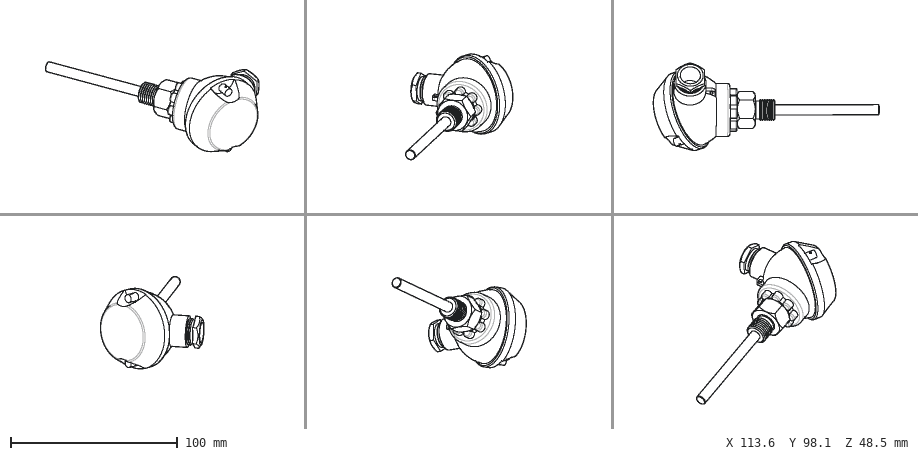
import cadquery as cq
import math


PROBE_ANGLE = 31.2
ROLL_ANGLE = -1.4

DOME_R = 22.4
RIM_BACK_X = -1.5
BOSS_R = 15.9
BOSS_END = 24.2
BOSS_FILLET = 1.5
SLEEVE_R = 9.5
SLEEVE_END = 30.1
SLEEVE_OFFSET = -0.1
SLEEVE_BORE_DEPTH = 6.8
LUG_THICKNESS = 2.0
LUG_CORNER_R = 2.2
LUG_HOLE_R = 1.0
LUG_HOLE_ALONG_PROBE = 12.8
LUG_HOLE_ALONG_GLAND = 20.3

RIM_R = 24.26
RIM_FRONT_X = 3.7
RIM_CHAMFER = 0.8
LID_END_X = 15.0
LID_TAPER = 30.0
LID_END_FILLET = 1.1
POCKET_R = 8.9
POCKET_OFFSET = 25.1
POCKET_FLOOR_X = 3.0
PIN_R = 2.5
PIN_OFFSET = 20.0
PIN_END_X = 9.7
PIN_HOLE_R = 0.5
PIN_HOLE_X = 6.7

LOBE_COUNT = 8
LOBE_CIRCLE_R = 10.2
LOBE_R = 2.8
LOBE_FILLET = 0.8
HUB_END = 28.4

FITTING_HEX_FLATS = 19.3
FITTING_HEX_END = 39.3
FITTING_FACE_R = 9.5
FITTING_CHAMFER = 1.5
FITTING_SHANK_R = 5.5
FITTING_FLARE = 0.7
FITTING_FLARE_LENGTH = 0.3
FITTING_END = 51.1
FITTING_CREST_R = 6.4
FITTING_PITCH = 1.32
FITTING_RIDGES = 7
FITTING_FIRST_CREST = 42.5

PROBE_R = 3.12
PROBE_TIP = 113.6
PROBE_CHAMFER = 0.3

GLAND_HEX_FLATS = 17.2
GLAND_HEX_START = 34.4
GLAND_END = 38.3
GLAND_FACE_R = 7.7
GLAND_CHAMFER = 1.6
GLAND_NECK_R = 7.3
GLAND_CREST_R = 8.1
GLAND_PITCH = 1.2
GLAND_RIDGES = 2
GLAND_FIRST_CREST = 30.8
GLAND_BORE_R = 6.0

CONE_REACH = 10


def rolled(x, y):
    """Direction (x, y, 0) after the roll of the housing about the X axis."""
    roll = math.radians(ROLL_ANGLE)
    return cq.Vector(x, y * math.cos(roll), y * math.sin(roll))


probe_cos = math.cos(math.radians(PROBE_ANGLE))
probe_sin = math.sin(math.radians(PROBE_ANGLE))
probe_dir = rolled(-probe_cos, -probe_sin)
gland_dir = rolled(-probe_sin, probe_cos)

probe_frame = cq.Plane(origin=(0, 0, 0), xDir=gland_dir, normal=probe_dir)
gland_frame = cq.Plane(origin=probe_dir * SLEEVE_OFFSET, xDir=probe_dir, normal=gland_dir)


def placed(body, frame):
    """Move a body built about the local Z axis into its frame."""
    return cq.Workplane(body.val().moved(cq.Location(frame)))


def revolved(outline):
    """Solid of revolution about local Z from (radius, height) points."""
    return cq.Workplane("XZ").polyline(outline).close().revolve(360, (0, 0), (0, 1))


def cylinder(radius, start, end):
    """Cylinder about local Z between two heights."""
    return cq.Workplane().workplane(offset=start).circle(radius).extrude(end - start)


def hexagon(flats, start, end, turn):
    """Hexagonal prism, with a corner on local X when turn is 0."""
    corner_r = corner_radius(flats)
    prism = cq.Workplane().workplane(offset=start).polygon(6, 2 * corner_r).extrude(end - start)
    return prism.rotate((0, 0, 0), (0, 0, 1), turn)


def corner_radius(flats):
    """Radius to the corners of a hexagon of the given width across flats."""
    return flats / 2 / math.cos(math.radians(30))


def hex_cone(flats, face_r, face_at, drop):
    """Conical envelope that chamfers the hex corners towards the face at face_at.

    The cone reaches the corner radius a signed distance drop behind the face.
    """
    corner_r = corner_radius(flats)
    reach = CONE_REACH * drop
    wide_r = face_r + (corner_r - face_r) * CONE_REACH
    outline = [(0, face_at), (face_r, face_at), (wide_r, face_at - reach), (0, face_at - reach)]
    return revolved(outline)


def thread_ridges(root_r, crest_r, first, pitch, count):
    """Row of ring-shaped ridges of triangular section."""
    ridges = cq.Workplane()
    for i in range(count):
        crest = first + i * pitch
        outline = [
            (0, crest - pitch / 2),
            (root_r, crest - pitch / 2),
            (crest_r, crest),
            (root_r, crest + pitch / 2),
            (0, crest + pitch / 2),
        ]
        ridges = ridges.add(revolved(outline))
    return ridges.combine()


def make_lug():
    """Drilled plate on the dome, between the sleeve and the boss."""
    along_gland = LUG_HOLE_ALONG_GLAND + LUG_CORNER_R
    along_probe = LUG_HOLE_ALONG_PROBE + LUG_CORNER_R
    plate = (
        cq.Workplane("XZ")
        .rect(along_gland, along_probe, centered=False)
        .extrude(LUG_THICKNESS / 2, both=True)
    )
    plate = plate.edges("|Y and >X and >Z").fillet(LUG_CORNER_R)
    hole = (
        cq.Workplane("XZ")
        .center(LUG_HOLE_ALONG_GLAND, LUG_HOLE_ALONG_PROBE)
        .circle(LUG_HOLE_R)
        .extrude(LUG_THICKNESS, both=True)
    )
    return placed(plate.cut(hole), probe_frame)


def make_housing():
    dome = cq.Workplane().sphere(DOME_R)
    boss = cylinder(BOSS_R, 0, BOSS_END).faces(">Z").edges().fillet(BOSS_FILLET)
    sleeve = cylinder(SLEEVE_R, 0, SLEEVE_END)
    sleeve_bore = cylinder(GLAND_NECK_R, SLEEVE_END - SLEEVE_BORE_DEPTH, SLEEVE_END)
    body = dome.union(placed(boss, probe_frame)).union(placed(sleeve, gland_frame))
    body = body.union(make_lug()).cut(placed(sleeve_bore, gland_frame))
    beyond_lid_plane = (
        cq.Workplane("YZ").workplane(offset=RIM_BACK_X).circle(2 * DOME_R).extrude(2 * DOME_R)
    )
    return body.cut(beyond_lid_plane)


def make_lid():
    end_r = RIM_R - (LID_END_X - RIM_FRONT_X) * math.tan(math.radians(LID_TAPER))
    outline = [
        (RIM_BACK_X, 0),
        (RIM_BACK_X, RIM_R - RIM_CHAMFER),
        (RIM_BACK_X + RIM_CHAMFER, RIM_R),
        (RIM_FRONT_X, RIM_R),
        (LID_END_X, end_r),
        (LID_END_X, 0),
    ]
    lid = cq.Workplane("XY").polyline(outline).close().revolve(360, (0, 0), (1, 0))
    lid = lid.faces(">X").edges().fillet(LID_END_FILLET)
    pockets = (
        cq.Workplane("YZ")
        .workplane(offset=POCKET_FLOOR_X)
        .pushPoints([(0, POCKET_OFFSET), (0, -POCKET_OFFSET)])
        .circle(POCKET_R)
        .extrude(LID_END_X)
    )
    return lid.cut(pockets)


def make_pin(side):
    """Cross-drilled sealing pin standing on a pocket floor; side is +1 above, -1 below."""
    pin = (
        cq.Workplane("YZ")
        .workplane(offset=POCKET_FLOOR_X)
        .center(0, side * PIN_OFFSET)
        .circle(PIN_R)
        .extrude(PIN_END_X - POCKET_FLOOR_X)
    )
    hole = (
        cq.Workplane("XY")
        .workplane(offset=side * PIN_OFFSET)
        .center(PIN_HOLE_X, 0)
        .circle(PIN_HOLE_R)
        .extrude(2 * PIN_R, both=True)
    )
    return pin.cut(hole)


def make_hub():
    hub = cylinder(LOBE_CIRCLE_R, BOSS_END, HUB_END)
    lobe = cylinder(LOBE_R, BOSS_END, HUB_END).faces(">Z").edges().fillet(LOBE_FILLET)
    for i in range(LOBE_COUNT):
        turn = i * 360 / LOBE_COUNT
        hub = hub.union(lobe.translate((LOBE_CIRCLE_R, 0, 0)).rotate((0, 0, 0), (0, 0, 1), turn))
    return placed(hub, probe_frame)


def make_fitting():
    nut = hexagon(FITTING_HEX_FLATS, HUB_END, FITTING_HEX_END, 0)
    for face_at, drop in ((FITTING_HEX_END, FITTING_CHAMFER), (HUB_END, -FITTING_CHAMFER)):
        nut = nut.intersect(hex_cone(FITTING_HEX_FLATS, FITTING_FACE_R, face_at, drop))
    shank = cylinder(FITTING_SHANK_R, FITTING_HEX_END, FITTING_END)
    flare_r = FITTING_SHANK_R + FITTING_FLARE
    flare_outline = [
        (0, FITTING_HEX_END),
        (flare_r, FITTING_HEX_END),
        (FITTING_SHANK_R, FITTING_HEX_END + FITTING_FLARE_LENGTH),
        (0, FITTING_HEX_END + FITTING_FLARE_LENGTH),
    ]
    flare = revolved(flare_outline)
    thread = thread_ridges(
        FITTING_SHANK_R, FITTING_CREST_R, FITTING_FIRST_CREST, FITTING_PITCH, FITTING_RIDGES
    )
    bore = cylinder(PROBE_R, HUB_END, FITTING_END)
    return placed(nut.union(shank).union(flare).union(thread).cut(bore), probe_frame)


def make_probe():
    probe = cylinder(PROBE_R, HUB_END, PROBE_TIP).faces(">Z").edges().chamfer(PROBE_CHAMFER)
    return placed(probe, probe_frame)


def make_gland():
    nut = hexagon(GLAND_HEX_FLATS, GLAND_HEX_START, GLAND_END, 30)
    nut = nut.intersect(hex_cone(GLAND_HEX_FLATS, GLAND_FACE_R, GLAND_END, GLAND_CHAMFER))
    plug_start = SLEEVE_END - SLEEVE_BORE_DEPTH
    neck = cylinder(GLAND_NECK_R, plug_start, GLAND_HEX_START)
    thread = thread_ridges(
        GLAND_NECK_R, GLAND_CREST_R, GLAND_FIRST_CREST, GLAND_PITCH, GLAND_RIDGES
    )
    bore = cylinder(GLAND_BORE_R, plug_start, GLAND_END)
    return placed(nut.union(neck).union(thread).cut(bore), gland_frame)


housing = make_housing()
lid = make_lid()
pins = [make_pin(side) for side in (1, -1)]
hub = make_hub()
fitting = make_fitting()
probe = make_probe()
gland = make_gland()

result = cq.Compound.makeCompound(
    [
        housing.val(),
        lid.val(),
        *[pin.val() for pin in pins],
        hub.val(),
        fitting.val(),
        probe.val(),
        gland.val(),
    ]
)